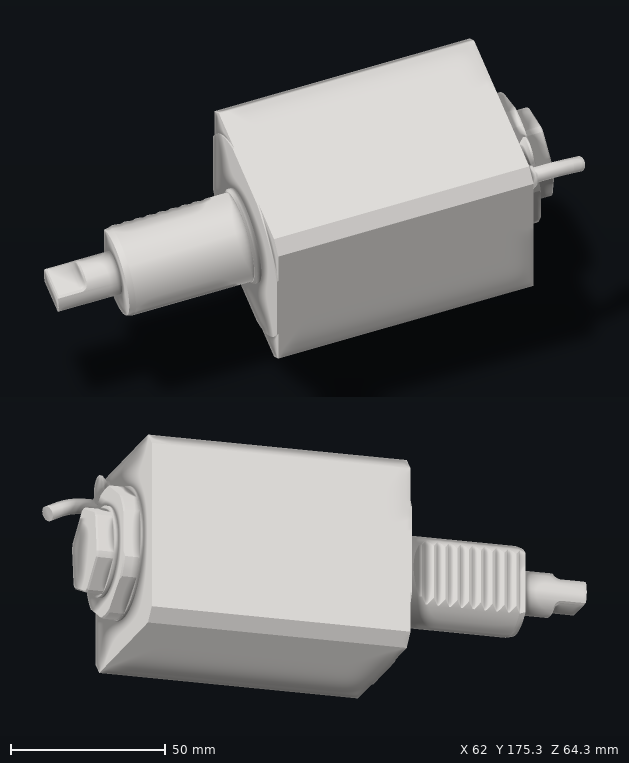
import cadquery as cq
import math


housing_width = 62.0
housing_height = 64.3
housing_length = 88.4
corner_chamfer = 4.2
pad_diameter = 68.5
pad_height = 0.5

shank_diameter = 30.0
shank_length = 44.9
shank_end_chamfer_depth = 0.5
shank_end_chamfer_length = 2.1
collar_diameter = 32.0
collar_length = 2.1
collar_chamfer = 0.7
tooth_pitch = 4.0
root_land = 0.5
tooth_height = (tooth_pitch - root_land) / 2
tooth_count = 8
tooth_tip_offset = 12.1
tooth_root_offset = tooth_tip_offset - tooth_height
first_root_y = -11.2
run_out_land = 0.9

tang_diameter = 14.5
tang_end_y = -66.6
tang_thickness = 8.0
tang_flat_length = 10.0
tang_root_fillet = 1.8
tang_edge_chamfer = 0.5

flange_diameter = 44.2
flange_length = 0.9
large_hex_diameter = 44.0
large_hex_flats = 41.0
large_hex_end_y = 94.7
neck_diameter = 30.0
small_hex_diameter = 29.8
small_hex_flats = 26.8
small_hex_start_y = 96.0
small_hex_end_y = 101.7
small_hex_turn = 7.5
hex_end_chamfer = 0.5

fitting_large_diameter = 9.6
fitting_small_diameter = 6.3
plug_neck = 0.9
plug_cone_length = (fitting_large_diameter - fitting_small_diameter) / 2
plug_rim = 0.7
plug_x = 17.5
plug_z = 27.2
nozzle_foot_length = 2.5
nozzle_x = 24.9
nozzle_z = 23.7
hose_diameter = 5.0
hose_collar_length = 2.5
hose_bend_radius = 18.5
hose_bend_angle = 32.0
hose_lean_angle = 60.0
overall_length = 175.3
hose_end_y = tang_end_y + overall_length


def cylinder(diameter, start_y, end_y):
    """Solid cylinder along Y."""
    plane = cq.Plane(origin=(0, start_y, 0), xDir=(1, 0, 0), normal=(0, 1, 0))
    return cq.Workplane(plane).circle(diameter / 2).extrude(end_y - start_y)


def turned(points, x=0.0, z=0.0):
    """Solid of revolution about a Y-direction axis; points are (radius, y)."""
    profile = cq.Workplane("XY").polyline(points).close()
    return profile.revolve(360, (0, 0, 0), (0, 1, 0)).translate((x, 0, z))


def hexagon_bar(flats, start_y, end_y, turn=0.0):
    """Hexagonal bar along Y with two flats facing +X and -X, turned about Y."""
    bar = cq.Workplane("XZ", origin=(0, start_y, 0)).polygon(6, flats, circumscribed=True)
    return bar.extrude(start_y - end_y).rotate((0, 0, 0), (0, 1, 0), turn)


def make_block():
    """Chamfered block whose front face carries a low round pad cut off by the sides."""
    block = (
        cq.Workplane("XY")
        .box(housing_width, housing_length, housing_height)
        .translate((0, housing_length / 2, 0))
        .edges("|Y")
        .chamfer(corner_chamfer)
    )
    front_layer = cq.Workplane("XY").box(2 * pad_diameter, 2 * pad_height, 2 * pad_diameter)
    corner_relief = front_layer.cut(cylinder(pad_diameter, -pad_height, pad_height))
    return block.cut(corner_relief)


def make_shank():
    """Round shank with a chamfered collar at the housing and a slim cone at its free end."""
    radius = shank_diameter / 2
    collar_radius = collar_diameter / 2
    return turned([
        (0, 0),
        (collar_radius, 0),
        (collar_radius, collar_chamfer - collar_length),
        (collar_radius - collar_chamfer, -collar_length),
        (radius, -collar_length),
        (radius, shank_end_chamfer_length - shank_length),
        (radius - shank_end_chamfer_depth, -shank_length),
        (0, -shank_length),
    ])


def make_tooth_cutter():
    """Removes the -X side of the shank down to a row of 90 degree teeth."""
    clear_x = -shank_diameter
    run_out_length = shank_diameter - tooth_tip_offset
    flank_start_y = first_root_y + tooth_pitch / 2
    run_out_end_y = flank_start_y + run_out_land
    points = [
        (clear_x, run_out_end_y + run_out_length),
        (-tooth_tip_offset, run_out_end_y),
        (-tooth_tip_offset, flank_start_y),
    ]
    for i in range(tooth_count):
        root_y = first_root_y - i * tooth_pitch
        points += [
            (-tooth_root_offset, root_y + root_land / 2),
            (-tooth_root_offset, root_y - root_land / 2),
            (-tooth_tip_offset, root_y - tooth_pitch / 2),
        ]
    last_root_y = first_root_y - tooth_count * tooth_pitch
    points += [
        (-tooth_root_offset, last_root_y + root_land / 2),
        (-tooth_root_offset, -shank_length),
        (clear_x, -shank_length),
    ]
    outline = cq.Workplane("XY").polyline(points).close()
    return outline.extrude(shank_diameter / 2, both=True)


def make_tang():
    """Drive stub with two opposite flats at its tip."""
    tang = cylinder(tang_diameter, tang_end_y, -shank_length)
    cut_height = tang_diameter
    shoulder_y = tang_end_y + tang_flat_length
    for side in (1, -1):
        flat_cut = (
            cq.Workplane("XY")
            .box(2 * tang_diameter, 2 * tang_flat_length, cut_height)
            .edges("|X")
            .fillet(tang_root_fillet)
            .translate((0, shoulder_y - tang_flat_length, side * (tang_thickness + cut_height) / 2))
        )
        tang = tang.cut(flat_cut)
    return tang.faces("|Z").edges().chamfer(tang_edge_chamfer)


def make_nose():
    """Flange, large hexagon, round neck and turned small hexagon at the rear of the housing."""
    flange_end_y = housing_length + flange_length
    flange = cylinder(flange_diameter, housing_length, flange_end_y)
    large_blank = cylinder(large_hex_diameter, flange_end_y, large_hex_end_y)
    large_blank = large_blank.faces(">Y").chamfer(hex_end_chamfer)
    large_hex = large_blank.intersect(hexagon_bar(large_hex_flats, flange_end_y, large_hex_end_y))
    neck = cylinder(neck_diameter, large_hex_end_y, small_hex_start_y)
    small_blank = cylinder(small_hex_diameter, small_hex_start_y, small_hex_end_y)
    small_hex = small_blank.intersect(
        hexagon_bar(small_hex_flats, small_hex_start_y, small_hex_end_y, small_hex_turn)
    )
    small_hex = small_hex.faces(">Y").chamfer(hex_end_chamfer)
    return flange.union(large_hex).union(neck).union(small_hex)


def make_holder():
    """Tool holder: housing, shank, tang and spindle nose."""
    shank = make_shank().cut(make_tooth_cutter())
    return make_block().union(shank).union(make_tang()).union(make_nose())


def make_plug():
    """Conical plug standing on the rear face with its wide end outward."""
    small = fitting_small_diameter / 2
    large = fitting_large_diameter / 2
    neck_y = housing_length + plug_neck
    cone_y = neck_y + plug_cone_length
    end_y = cone_y + plug_rim
    points = [
        (0, housing_length), (small, housing_length), (small, neck_y),
        (large, cone_y), (large, end_y), (0, end_y),
    ]
    return turned(points, plug_x, plug_z)


def make_nozzle():
    """Coolant nozzle: conical foot, straight collar and a bent hose leaning towards the tool axis."""
    small = fitting_small_diameter / 2
    large = fitting_large_diameter / 2
    foot_y = housing_length + nozzle_foot_length
    foot = turned(
        [(0, housing_length), (large, housing_length), (small, foot_y), (0, foot_y)],
        nozzle_x,
        nozzle_z,
    )
    bend_start_y = foot_y + hose_collar_length

    bend = math.radians(hose_bend_angle)
    lean = math.radians(hose_lean_angle)
    centre_end_y = hose_end_y - hose_diameter / 2 * math.sin(bend)
    arc_x = hose_bend_radius * (1 - math.cos(bend))
    arc_y = hose_bend_radius * math.sin(bend)
    mid_x = hose_bend_radius * (1 - math.cos(bend / 2))
    mid_y = hose_bend_radius * math.sin(bend / 2)
    straight_y = centre_end_y - bend_start_y - arc_y
    hose_plane = cq.Plane(
        origin=(nozzle_x, bend_start_y, nozzle_z),
        xDir=(-math.cos(lean), 0, -math.sin(lean)),
        normal=(math.sin(lean), 0, -math.cos(lean)),
    )
    path = (
        cq.Workplane(hose_plane)
        .moveTo(0, -hose_collar_length)
        .lineTo(0, 0)
        .threePointArc((mid_x, mid_y), (arc_x, arc_y))
        .lineTo(arc_x + straight_y * math.tan(bend), arc_y + straight_y)
    )
    section_plane = cq.Plane(origin=(nozzle_x, foot_y, nozzle_z), xDir=(1, 0, 0), normal=(0, 1, 0))
    hose = cq.Workplane(section_plane).circle(hose_diameter / 2).sweep(path)
    return foot.union(hose)


holder = make_holder()
plug = make_plug()
nozzle = make_nozzle()

result = cq.Compound.makeCompound([holder.val(), plug.val(), nozzle.val()])